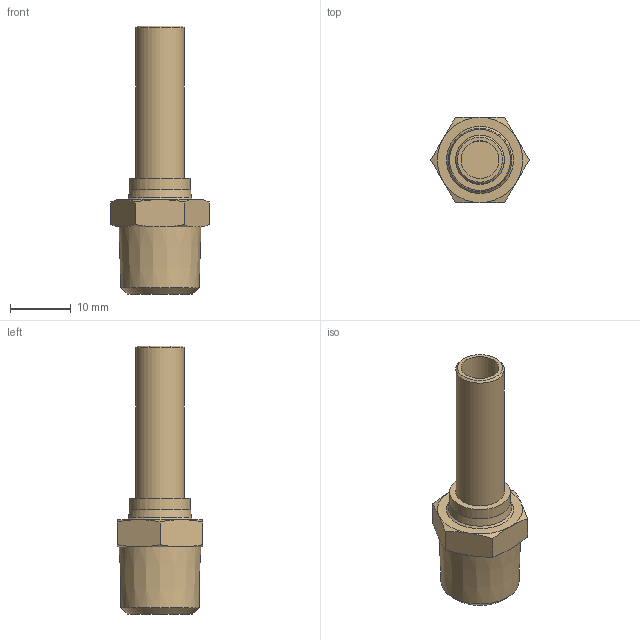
import cadquery as cq
import math

TOTAL_LENGTH = 44.0
HEX_BOTTOM = 11.0
HEX_TOP = 15.5
FLARE_TOP = 15.8
CONE_TOP = 17.1
COLLAR_TOP = 19.0

THREAD_LARGE_RADIUS = 6.73
THREAD_TAPER = 1 / 32
THREAD_CHAMFER = 1.0

HEX_SIDES = 6
ACROSS_FLATS = 14.0
HEX_CHAMFER_ANGLE = 20.0

FLARE_RADIUS = 5.5
CONE_RADIUS = 5.2
COLLAR_RADIUS = 5.0

TUBE_RADIUS = 4.0
TUBE_CHAMFER = 0.3
BORE_RADIUS = 3.1
BORE_DEPTH = TOTAL_LENGTH - COLLAR_TOP


def revolve_profile(points):
    """Revolve a closed (radius, height) outline about the Z axis."""
    outline = cq.Workplane("XZ").polyline(points).close()
    return outline.revolve(360, (0, 0, 0), (0, 1, 0))


def make_thread_body():
    """Conical body, narrower towards its chamfered lower end."""
    edge_radius = THREAD_LARGE_RADIUS - THREAD_TAPER * (HEX_BOTTOM - THREAD_CHAMFER)
    return revolve_profile([
        (0, 0),
        (edge_radius - THREAD_CHAMFER, 0),
        (edge_radius, THREAD_CHAMFER),
        (THREAD_LARGE_RADIUS, HEX_BOTTOM),
        (0, HEX_BOTTOM),
    ])


def make_hexagon():
    """Hexagon with corners on the X axis, turned conically at both ends."""
    across_corners = ACROSS_FLATS / math.cos(math.pi / HEX_SIDES)
    flat_radius = ACROSS_FLATS / 2
    corner_radius = across_corners / 2
    corner_drop = (corner_radius - flat_radius) * math.tan(math.radians(HEX_CHAMFER_ANGLE))
    prism = (
        cq.Workplane("XY", origin=(0, 0, HEX_BOTTOM))
        .polygon(HEX_SIDES, across_corners)
        .extrude(HEX_TOP - HEX_BOTTOM)
    )
    envelope = revolve_profile([
        (0, HEX_BOTTOM),
        (flat_radius, HEX_BOTTOM),
        (corner_radius, HEX_BOTTOM + corner_drop),
        (corner_radius, HEX_TOP - corner_drop),
        (flat_radius, HEX_TOP),
        (0, HEX_TOP),
    ])
    return prism.intersect(envelope)


def make_collar():
    """Round collar with a short cone that flares out onto the hexagon."""
    return revolve_profile([
        (0, HEX_TOP),
        (FLARE_RADIUS, HEX_TOP),
        (CONE_RADIUS, FLARE_TOP),
        (COLLAR_RADIUS, CONE_TOP),
        (COLLAR_RADIUS, COLLAR_TOP),
        (0, COLLAR_TOP),
    ])


def make_tube():
    """Plain tube stem with a chamfered outer rim."""
    return (
        cq.Workplane("XY", origin=(0, 0, COLLAR_TOP))
        .circle(TUBE_RADIUS)
        .extrude(TOTAL_LENGTH - COLLAR_TOP)
        .faces(">Z")
        .chamfer(TUBE_CHAMFER)
    )


def make_bore():
    """Blind bore sunk from the tube end."""
    return (
        cq.Workplane("XY", origin=(0, 0, TOTAL_LENGTH))
        .circle(BORE_RADIUS)
        .extrude(-BORE_DEPTH)
    )


body = make_thread_body().union(make_hexagon()).union(make_collar()).union(make_tube())
result = body.cut(make_bore())